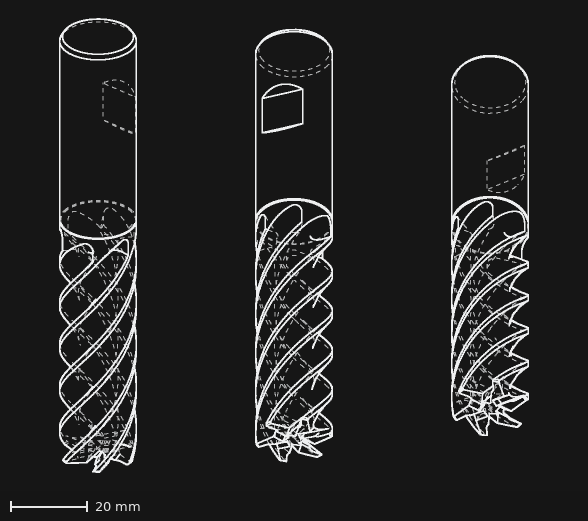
import cadquery as cq
import math


total_length = 125.0
tool_radius = 10.0
head_length = 70.0
flute_length = 63.0
tooth_count = 6
helix_lead = 75.5
edge_angle = 3.0

land_angle = 9.0
floor_radius = 5.4
floor_angle = 40.0
rake_angle = 8.0

runout_rise = 6.9
runout_travel = 6.2
corner_chamfer = 0.4
gash_height = 3.8
gash_top_width = 1.9
gash_mouth_width = 2.2
gash_lean = 2.9
gash_start = 1.9

end_chamfer_height = 1.2
end_chamfer_width = 0.8
joint_chamfer = 0.2
flat_depth = 1.8
flat_length = 11.0
flat_center = 100.0

clearance = 2.5

pitch_angle = 360.0 / tooth_count
flute_twist = 360.0 * flute_length / helix_lead
tip_edges = [edge_angle + i * pitch_angle for i in range(tooth_count)]
runout_edges = [angle + flute_twist for angle in tip_edges]


def polar(radius, angle):
    """Point in the XY plane at a radius and an angle in degrees."""
    turn = math.radians(angle)
    return cq.Vector(radius * math.cos(turn), radius * math.sin(turn))


def round_bar(bottom, top):
    """Full-diameter bar between two heights, its seam on the -Y side."""
    plane = cq.Plane(origin=(0, 0, bottom), xDir=(0, -1, 0), normal=(0, 0, 1))
    return cq.Workplane(plane).circle(tool_radius).extrude(top - bottom)


def flute_points(edge):
    """Start and end of the tooth back, then start and end of the rake face of the next tooth."""
    back_start = polar(tool_radius, edge + land_angle)
    back_end = polar(floor_radius, edge + floor_angle)
    next_edge = polar(tool_radius, edge + pitch_angle)
    rake = rake_direction(edge)
    back = (back_end - back_start).normalized()
    reach = (next_edge - back_start).cross(rake).z / back.cross(rake).z
    corner = back_start + back * reach
    rake_start = corner + rake * (corner - back_end).Length
    return back_start, back_end, rake_start, next_edge


def rake_direction(edge):
    """Outward direction of the rake face at the far side of the flute behind an edge."""
    return polar(1.0, edge + pitch_angle - rake_angle)


def tooth_section():
    section = cq.Workplane("XY").moveTo(*polar(tool_radius, edge_angle).toTuple()[:2])
    for edge in tip_edges:
        back_start, back_end, rake_start, next_edge = flute_points(edge)
        land_middle = polar(tool_radius, edge + land_angle / 2)
        section = (
            section.threePointArc((land_middle.x, land_middle.y), (back_start.x, back_start.y))
            .lineTo(back_end.x, back_end.y)
            .tangentArcPoint((rake_start.x, rake_start.y), relative=False)
            .lineTo(next_edge.x, next_edge.y)
        )
    return section.close()


def runout(edge):
    """Flute outline carried up and outward until it leaves the neck."""
    back_start, back_end, rake_start, next_edge = flute_points(edge)
    rake = rake_direction(edge)
    outer_back = back_start + (back_start - back_end).normalized() * clearance
    outer_rake = next_edge + rake * clearance
    outline = (
        cq.Workplane("XY", origin=(0, 0, flute_length))
        .moveTo(outer_back.x, outer_back.y)
        .lineTo(back_end.x, back_end.y)
        .tangentArcPoint((rake_start.x, rake_start.y), relative=False)
        .lineTo(outer_rake.x, outer_rake.y)
        .close()
    )
    path = rake * runout_travel + cq.Vector(0, 0, runout_rise)
    return cq.Solid.extrudeLinear(outline.val(), [], path)


def gash(edge):
    """Leaning slot that opens the end in front of a cutting edge and runs outward."""
    return (
        cq.Workplane("YZ", origin=(gash_start, 0, 0))
        .moveTo(0, 0)
        .lineTo(gash_lean, gash_height)
        .lineTo(gash_lean - gash_top_width, gash_height)
        .lineTo(-gash_mouth_width, 0)
        .close()
        .extrude(tool_radius + clearance - gash_start)
        .rotate((0, 0, 0), (0, 0, 1), edge)
    )


def corner_ring():
    """Triangular ring that bevels the outer corner of the teeth."""
    return (
        cq.Workplane("XZ")
        .moveTo(tool_radius - corner_chamfer, 0)
        .lineTo(tool_radius + clearance, corner_chamfer + clearance)
        .lineTo(tool_radius + clearance, 0)
        .close()
        .revolve(360, (0, 0), (0, 1))
    )


def cutting_head():
    fluted = tooth_section().twistExtrude(flute_length, flute_twist)
    neck = round_bar(flute_length, head_length)
    for edge in runout_edges:
        neck = neck.cut(cq.Workplane(runout(edge)))
    for edge in tip_edges:
        fluted = fluted.cut(gash(edge))
    return fluted.cut(corner_ring()).union(neck)


def clamping_shank():
    shank = round_bar(head_length, total_length)
    shank = shank.faces(">Z").chamfer(end_chamfer_height, end_chamfer_width)
    shank = shank.faces("<Z").chamfer(joint_chamfer)
    half_floor = flat_length / 2
    half_mouth = half_floor + flat_depth + clearance
    flat_cut = (
        cq.Workplane("YZ")
        .moveTo(tool_radius - flat_depth, flat_center - half_floor)
        .lineTo(tool_radius + clearance, flat_center - half_mouth)
        .lineTo(tool_radius + clearance, flat_center + half_mouth)
        .lineTo(tool_radius - flat_depth, flat_center + half_floor)
        .close()
        .extrude(tool_radius, both=True)
    )
    return shank.cut(flat_cut)


head = cutting_head()
shank = clamping_shank()
result = cq.Compound.makeCompound([head.val(), shank.val()])